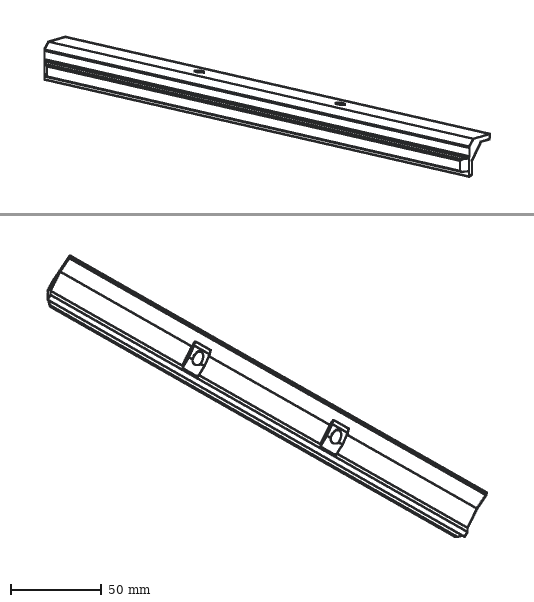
import cadquery as cq
import math

LENGTH = 267.6
DEPTH = 27.87
HEIGHT = 21.15

BAR_DEPTH = 3.72
LEG_THICKNESS = 3.2
FLANGE_THICKNESS = 3.1
FLANGE_ANGLE = 14.0
BROW_DEPTH = 4.8
BROW_ANGLE = 30.0
WEB_FLANGE_Y = 13.6
WEB_LEG_Z = -12.7

RECESS_TOP_Z = -3.6
RECESS_BOTTOM_Z = -8.8
RECESS_DEPTH = 0.2

BAR_TOP_Z = -10.0
BAR_BOTTOM_Z = -17.7
BAR_CHAMFER = 0.8

HOLE_DIAMETER = 5.3
HOLE_SPACING = 88.6
HOLE_FROM_BACK = 9.2
BOSS_WIDTH = 10.0
BOSS_BACK_OFFSET = 3.2
BOSS_BACK_LENGTH = 5.0
BOSS_FLOOR_Y = 10.4
BOSS_FLOOR_Z = -17.6

BROW_DROP = BROW_DEPTH * math.tan(math.radians(BROW_ANGLE))
FLANGE_SLOPE = math.tan(math.radians(FLANGE_ANGLE))
SIN_TILT = math.sin(math.radians(FLANGE_ANGLE))
COS_TILT = math.cos(math.radians(FLANGE_ANGLE))
BACK_Y = DEPTH - BAR_DEPTH
HOLE_Y = BACK_Y - HOLE_FROM_BACK


def flange_top_z(y):
    """Height of the sloping top face at depth y."""
    return -FLANGE_SLOPE * (y - BROW_DEPTH)


def below_flange(y, depth):
    """Point reached by going squarely down from the top face at depth y."""
    return (y - depth * SIN_TILT, flange_top_z(y) - depth * COS_TILT)


def prism(points, start_x, length):
    """Extrude a Y-Z outline along X."""
    return cq.Workplane("YZ", origin=(start_x, 0, 0)).polyline(points).close().extrude(length)


def make_rail():
    """Constant section: flange, brow, web and leg with its front recess."""
    underside_z = flange_top_z(WEB_FLANGE_Y) - FLANGE_THICKNESS / COS_TILT
    outline = [
        (0, -HEIGHT),
        (0, RECESS_BOTTOM_Z),
        (RECESS_DEPTH, RECESS_BOTTOM_Z),
        (RECESS_DEPTH, RECESS_TOP_Z),
        (0, RECESS_TOP_Z),
        (0, -BROW_DROP),
        (BROW_DEPTH, 0),
        (BACK_Y, flange_top_z(BACK_Y)),
        below_flange(BACK_Y, FLANGE_THICKNESS),
        (WEB_FLANGE_Y, underside_z),
        (LEG_THICKNESS, WEB_LEG_Z),
        (LEG_THICKNESS, -HEIGHT),
    ]
    return prism(outline, 0, LENGTH)


def make_bar():
    """Bar with chamfered long edges and mitred ends."""
    section = [
        (0, BAR_TOP_Z),
        (BAR_CHAMFER - BAR_DEPTH, BAR_TOP_Z),
        (-BAR_DEPTH, BAR_TOP_Z - BAR_CHAMFER),
        (-BAR_DEPTH, BAR_BOTTOM_Z + BAR_CHAMFER),
        (BAR_CHAMFER - BAR_DEPTH, BAR_BOTTOM_Z),
        (0, BAR_BOTTOM_Z),
    ]
    mitred_plan = [
        (0, 0),
        (BAR_DEPTH, -BAR_DEPTH),
        (LENGTH - BAR_DEPTH, -BAR_DEPTH),
        (LENGTH, 0),
    ]
    plan = cq.Workplane("XY", origin=(0, 0, -HEIGHT)).polyline(mitred_plan).close().extrude(HEIGHT)
    return prism(section, 0, LENGTH).intersect(plan)


def make_boss(center_x):
    """Boss filling the corner between flange, web and leg."""
    back_y = HOLE_Y + BOSS_BACK_OFFSET * COS_TILT
    middle_depth = FLANGE_THICKNESS / 2
    outline = [
        below_flange(back_y, middle_depth),
        below_flange(back_y, FLANGE_THICKNESS + BOSS_BACK_LENGTH),
        (BOSS_FLOOR_Y, BOSS_FLOOR_Z),
        (LEG_THICKNESS / 2, BOSS_FLOOR_Z),
        (LEG_THICKNESS / 2, -BROW_DROP),
    ]
    return prism(outline, center_x - BOSS_WIDTH / 2, BOSS_WIDTH)


def make_hole(center_x):
    """Cutter for a through hole square to the sloping top face."""
    start = cq.Vector(center_x, HOLE_Y + HEIGHT * SIN_TILT, flange_top_z(HOLE_Y) + HEIGHT * COS_TILT)
    direction = cq.Vector(0, -SIN_TILT, -COS_TILT)
    return cq.Workplane(cq.Solid.makeCylinder(HOLE_DIAMETER / 2, 2 * HEIGHT, start, direction))


hole_positions = [(LENGTH - HOLE_SPACING) / 2, (LENGTH + HOLE_SPACING) / 2]

result = make_rail().union(make_bar())
for x in hole_positions:
    result = result.union(make_boss(x))
for x in hole_positions:
    result = result.cut(make_hole(x))